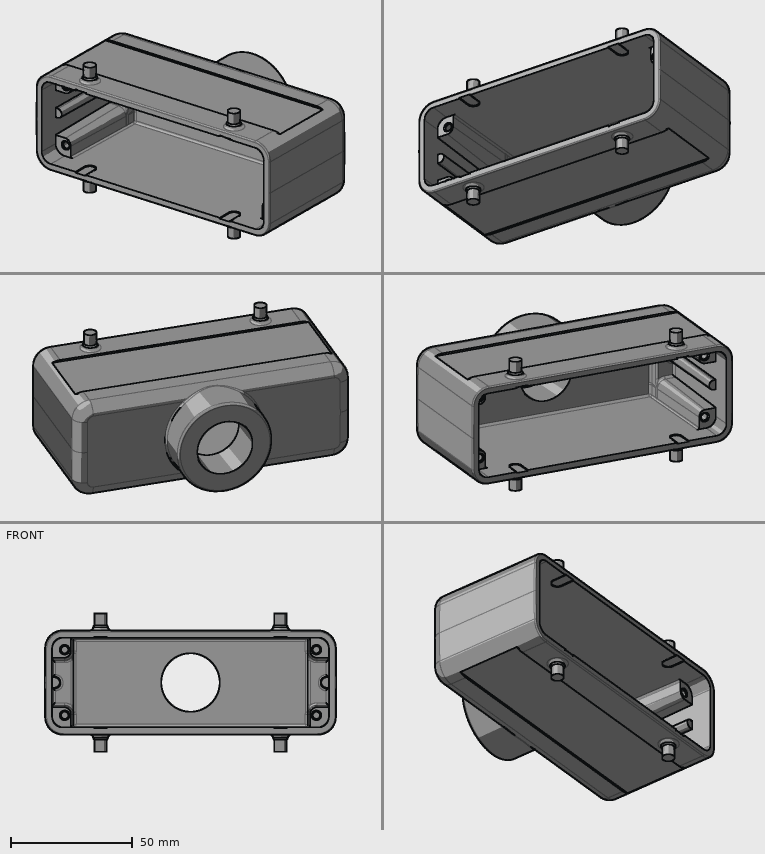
import cadquery as cq
import math

BODY_LENGTH = 120.0
BODY_DEPTH = 55.0
BODY_HEIGHT = 43.0
WALL = 3.0
SIDE_SLOPE = 0.15
CORNER_RADIUS = 7.5
BACK_ROUND = 5.0
RIM_ROUND = 0.6
CAVITY_DRAFT = 0.5
FLOOR_ROUND = 1.0

SPOUT_DIAMETER = 41.0
SPOUT_END = 69.5
SPOUT_END_ROUND = 1.0
SPOUT_FOOT_ROUND = 0.8
CABLE_HOLE_DIAMETER = 24.0

PIN_SPACING = 74.0
PIN_Y = 6.3
PIN_RADIUS = 2.6
PIN_TIP_Z = 28.5
PIN_COLLAR_RADIUS = 3.1
PIN_COLLAR_CHAMFER_HEIGHT = 0.8
PIN_FOOT_ROUND = 1.3
PIN_SLOT_DEPTH = 0.4

LABEL_START_Y = 12.8
LABEL_END_Y = 42.3
LABEL_DEPTH = 0.8

BOSS_FRONT_Y = 9.5
BOSS_INNER_X = 49.2
BOSS_INNER_Z = 10.2
BOSS_CORNER_RADIUS = 2.8
BOSS_SEAM_ROUND = 0.8
BOSS_DRAFT = 1.5
SCREW_X = 51.8
SCREW_Z = 13.5
SCREW_HOLE_DIAMETER = 3.0
SCREW_HOLE_DEPTH = 15.0
SCREW_CHAMFER = 0.5

SHELF_HEIGHT = 5.0
SHELF_INNER_X = 48.2
SHELF_EDGE_ROUND = 1.0
RIB_RADIUS = 2.1
RIB_REACH = 3.2
RIB_DRAFT = 0.4
SHELF_FOOT_ROUND = 1.0

HALF_LENGTH = BODY_LENGTH / 2
HALF_HEIGHT = BODY_HEIGHT / 2
CAVITY_HALF_LENGTH = HALF_LENGTH - WALL
CAVITY_HALF_HEIGHT = HALF_HEIGHT - WALL
FLOOR_Y = BODY_DEPTH - WALL
SHELF_Y = FLOOR_Y - SHELF_HEIGHT
SIDES = (-1, 1)


def plane_at(y):
    """Workplane facing +Y, with local x along X and local y along -Z."""
    return cq.Workplane(cq.Plane(origin=(0, y, 0), xDir=(1, 0, 0), normal=(0, 1, 0)))


def make_outer_body():
    corner_x = HALF_LENGTH - SIDE_SLOPE
    outline = [
        (HALF_LENGTH, 0),
        (corner_x, HALF_HEIGHT),
        (-corner_x, HALF_HEIGHT),
        (-HALF_LENGTH, 0),
        (-corner_x, -HALF_HEIGHT),
        (corner_x, -HALF_HEIGHT),
    ]
    body = plane_at(0).polyline(outline).close().extrude(BODY_DEPTH)
    body = body.edges("|Y").edges(">Z or <Z").fillet(CORNER_RADIUS)
    return body.faces(">Y").edges().fillet(BACK_ROUND)


def make_boss():
    """Drafted screw boss in the +X, +Z corner, one inner corner rounded."""
    overlap = WALL / 2
    width = CAVITY_HALF_LENGTH + overlap - BOSS_INNER_X
    height = CAVITY_HALF_HEIGHT + overlap - BOSS_INNER_Z
    length = FLOOR_Y + overlap - BOSS_FRONT_Y
    r = BOSS_CORNER_RADIUS
    arc_offset = r * (1 - math.sqrt(0.5))
    return (
        plane_at(BOSS_FRONT_Y)
        .moveTo(BOSS_INNER_X + r, -BOSS_INNER_Z)
        .threePointArc(
            (BOSS_INNER_X + arc_offset, -BOSS_INNER_Z - arc_offset),
            (BOSS_INNER_X, -BOSS_INNER_Z - r),
        )
        .lineTo(BOSS_INNER_X, -BOSS_INNER_Z - height)
        .lineTo(BOSS_INNER_X + width, -BOSS_INNER_Z - height)
        .lineTo(BOSS_INNER_X + width, -BOSS_INNER_Z)
        .close()
        .extrude(length, taper=-BOSS_DRAFT)
    )


def make_rib():
    """Half-round rib along the +X end wall, running forward from the shelf, with a flared foot."""
    overlap = WALL / 2
    crown_x = CAVITY_HALF_LENGTH - RIB_REACH
    centre_x = crown_x + RIB_RADIUS
    wall_x = CAVITY_HALF_LENGTH + overlap
    rib = (
        plane_at(BOSS_FRONT_Y)
        .moveTo(wall_x, RIB_RADIUS)
        .lineTo(centre_x, RIB_RADIUS)
        .threePointArc((crown_x, 0), (centre_x, -RIB_RADIUS))
        .lineTo(wall_x, -RIB_RADIUS)
        .close()
        .extrude(SHELF_Y + overlap - BOSS_FRONT_Y, taper=-RIB_DRAFT)
    )
    foot_radius = RIB_RADIUS + (SHELF_Y - BOSS_FRONT_Y) * math.tan(math.radians(RIB_DRAFT))
    flare_radius = foot_radius + SHELF_FOOT_ROUND
    arc_offset = SHELF_FOOT_ROUND * (1 - math.sqrt(0.5))
    flare = (
        cq.Workplane("XY")
        .moveTo(0, SHELF_Y - SHELF_FOOT_ROUND)
        .lineTo(foot_radius, SHELF_Y - SHELF_FOOT_ROUND)
        .threePointArc(
            (foot_radius + arc_offset, SHELF_Y - arc_offset),
            (flare_radius, SHELF_Y),
        )
        .lineTo(flare_radius, SHELF_Y + overlap)
        .lineTo(0, SHELF_Y + overlap)
        .close()
        .revolve(360, (0, 0, 0), (0, 1, 0))
        .translate((centre_x, 0, 0))
    )
    return rib.union(flare)


def make_clear_hollow():
    """Drafted hollow down to floor level, clear of the bosses and rounded along their seams."""
    hollow = (
        plane_at(0)
        .sketch()
        .rect(2 * CAVITY_HALF_LENGTH, 2 * CAVITY_HALF_HEIGHT)
        .vertices()
        .fillet(CORNER_RADIUS - WALL)
        .finalize()
        .extrude(FLOOR_Y, taper=CAVITY_DRAFT)
    )
    boss = make_boss()
    boss_pair = boss.union(boss.mirror("XY"))
    hollow = hollow.cut(boss_pair).cut(boss_pair.mirror("YZ"))
    middle_y = (BOSS_FRONT_Y + FLOOR_Y) / 2
    for x_side in SIDES:
        for z_side in SIDES:
            boss_seam = cq.selectors.NearestToPointSelector(
                (x_side * BOSS_INNER_X, middle_y, z_side * CAVITY_HALF_HEIGHT)
            )
            hollow = hollow.edges(boss_seam).fillet(BOSS_SEAM_ROUND)
    return hollow


def make_shelf_hollow(clear_hollow):
    """Part of the hollow in front of shelf level, its bottom edges rounded."""
    front = cq.Workplane("XY").box(
        BODY_LENGTH, SHELF_Y, BODY_HEIGHT, centered=(True, False, True)
    )
    return clear_hollow.intersect(front).faces(">Y").edges().fillet(SHELF_FOOT_ROUND)


def make_floor_hollow(clear_hollow):
    """Middle of the hollow, between the shelves, down to the floor."""
    middle = cq.Workplane("XY").box(
        2 * SHELF_INNER_X, FLOOR_Y, BODY_HEIGHT, centered=(True, False, True)
    )
    return clear_hollow.intersect(middle).faces(">Y").edges().fillet(FLOOR_ROUND)


def make_cavity():
    """Whole hollow of the housing, with the free edge of each shelf rounded."""
    clear_hollow = make_clear_hollow()
    cavity = make_shelf_hollow(clear_hollow).union(make_floor_hollow(clear_hollow))
    for x_side in SIDES:
        cavity = cavity.edges(
            cq.selectors.NearestToPointSelector((x_side * SHELF_INNER_X, SHELF_Y, 0))
        ).fillet(SHELF_EDGE_ROUND)
    rib = make_rib()
    return cavity.cut(rib).cut(rib.mirror("YZ"))


def make_spout():
    spout = plane_at(FLOOR_Y).circle(SPOUT_DIAMETER / 2).extrude(SPOUT_END - FLOOR_Y)
    return spout.faces(">Y").edges().fillet(SPOUT_END_ROUND)


def make_pin():
    """Pin on the +Z face at X = 0: flared foot, short chamfered collar, shank."""
    foot_radius = PIN_COLLAR_RADIUS + PIN_FOOT_ROUND
    collar_z = HALF_HEIGHT + PIN_FOOT_ROUND
    shank_z = collar_z + PIN_COLLAR_CHAMFER_HEIGHT
    arc_offset = PIN_FOOT_ROUND * (1 - math.sqrt(0.5))
    base_z = HALF_HEIGHT - WALL / 2
    profile = (
        cq.Workplane("XZ")
        .moveTo(0, base_z)
        .lineTo(foot_radius, base_z)
        .lineTo(foot_radius, HALF_HEIGHT)
        .threePointArc(
            (PIN_COLLAR_RADIUS + arc_offset, HALF_HEIGHT + arc_offset),
            (PIN_COLLAR_RADIUS, collar_z),
        )
        .lineTo(PIN_RADIUS, shank_z)
        .lineTo(PIN_RADIUS, PIN_TIP_Z)
        .lineTo(0, PIN_TIP_Z)
        .close()
    )
    return profile.revolve(360, (0, 0, 0), (0, 1, 0)).translate((0, PIN_Y, 0))


def make_pin_slot():
    """Shallow round-ended slot in the cavity wall behind a pin, open at the mouth."""
    slot_top = CAVITY_HALF_HEIGHT + PIN_SLOT_DEPTH
    return (
        cq.Workplane("XY")
        .moveTo(-PIN_RADIUS, 0)
        .lineTo(-PIN_RADIUS, PIN_Y)
        .threePointArc((0, PIN_Y + PIN_RADIUS), (PIN_RADIUS, PIN_Y))
        .lineTo(PIN_RADIUS, 0)
        .close()
        .extrude(slot_top)
    )


def make_label_cut():
    """Block that lowers the +Z face over the label area."""
    return cq.Workplane("XY").box(
        BODY_LENGTH, LABEL_END_Y - LABEL_START_Y, LABEL_DEPTH, centered=(True, False, False)
    ).translate((0, LABEL_START_Y, HALF_HEIGHT - LABEL_DEPTH))


def make_screw_hole():
    """Blind hole with a chamfered mouth."""
    radius = SCREW_HOLE_DIAMETER / 2
    hole = plane_at(BOSS_FRONT_Y).circle(radius).extrude(SCREW_HOLE_DEPTH)
    mouth = cq.Workplane(
        cq.Solid.makeCone(
            radius + SCREW_CHAMFER, radius, SCREW_CHAMFER,
            pnt=cq.Vector(0, BOSS_FRONT_Y, 0), dir=cq.Vector(0, 1, 0),
        )
    )
    return hole.union(mouth)


def round_spout_foot(body):
    """Fillet the seam where the spout meets the rounded back of the body."""
    reach = SPOUT_DIAMETER / 2 + SPOUT_FOOT_ROUND / 2
    seam_box = cq.selectors.BoxSelector(
        (-reach, BODY_DEPTH - BACK_ROUND, -reach),
        (reach, BODY_DEPTH + SPOUT_FOOT_ROUND, reach),
        boundingbox=True,
    )
    return body.edges(seam_box).fillet(SPOUT_FOOT_ROUND)


outer = round_spout_foot(make_outer_body().union(make_spout()))
outer = outer.faces("<Y").edges().fillet(RIM_ROUND)
result = outer.cut(make_cavity())
result = result.cut(plane_at(0).circle(CABLE_HOLE_DIAMETER / 2).extrude(SPOUT_END))

pin = make_pin()
pin_slot = make_pin_slot()
label_cut = make_label_cut()
screw_hole = make_screw_hole()
for z_side in SIDES:
    for x_side in SIDES:
        pin_x = x_side * PIN_SPACING / 2
        pin_here = pin if z_side > 0 else pin.mirror("XY")
        slot_here = pin_slot if z_side > 0 else pin_slot.mirror("XY")
        result = result.union(pin_here.translate((pin_x, 0, 0)))
        result = result.cut(slot_here.translate((pin_x, 0, 0)))
        result = result.cut(screw_hole.translate((x_side * SCREW_X, 0, z_side * SCREW_Z)))
    result = result.cut(label_cut if z_side > 0 else label_cut.mirror("XY"))